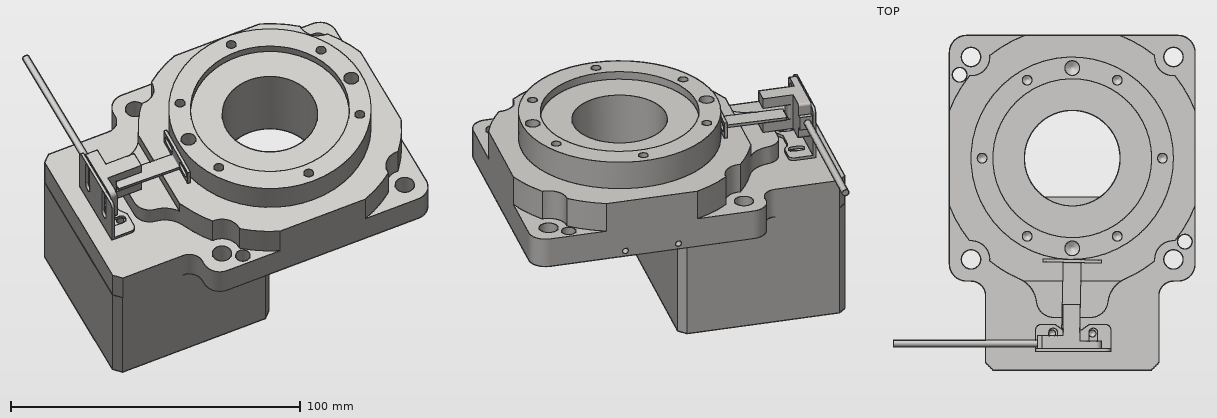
import cadquery as cq
import math


overall_width = 104.3
overall_depth = 115.8

pick_margin = 1.2

plate_side = 85.0
plate_height = 11.0
plate_corner_radius = 6.0
plate_half = plate_side / 2

motor_side = 60.0
motor_height = 41.9
motor_front_y = plate_half - overall_depth
motor_chamfer = 2.7

neck_setback = 0.1
neck_front_y = motor_front_y + neck_setback
neck_fillet = 5.0

housing_radius = 45.5
housing_top_z = 2 * plate_height

boss_height = 6.7
boss_corner_x = 6.4
boss_corner_radius = 6.0
boss_front_y = -55.0
boss_blend_radius = 10.0

mount_hole_offset = 35.0
mount_hole_diameter = 6.6
mount_relief_radius = 6.5
dowel_x = 38.9
dowel_y = 28.8
dowel_diameter = 5.0

table_diameter = 70.0
table_height = 10.5
table_top_z = housing_top_z + table_height
recess_diameter = 54.9
recess_depth = 3.0
bore_diameter = 33.0

table_hole_circle_radius = 31.2
table_screw_diameter = 3.4
table_screw_depth = 7.0
table_pin_diameter = 5.1
table_pin_depth = 8.1

drill_point_angle = 118.0
side_hole_diameter = 2.1
side_hole_depth = 4.6
side_hole_y = 9.5
side_hole_z = 2.1
foot_screw_diameter = 2.4
foot_screw_depth = 4.6
foot_screw_x = 7.0
foot_screw_y = -60.6

sheet_thickness = 1.0
bracket_width = 26.0
bracket_center_x = 0.3
bracket_front_y = -66.8
bracket_height = 19.5
bracket_depth = 9.4
bracket_corner_radius = 2.0
bracket_slot_width = 3.2
bracket_slot_pitch = 13.0
bracket_slot_bottom_z = 16.6
bracket_slot_top_z = 30.1
foot_slot_length = 5.7
foot_slot_width = 3.0
foot_slot_pitch = 13.9
foot_slot_edge = 1.3
notch_half_width = 5.9
notch_floor_half_width = 3.1
notch_depth = 2.0
notch_round = 1.0

sensor_back_y = bracket_front_y + sheet_thickness
sensor_left_x = -10.4
sensor_right_x = 10.2
sensor_height = 13.4
sensor_center_z = 24.9
sensor_bottom_z = sensor_center_z - sensor_height / 2
sensor_left_round = 0.9
sensor_right_round = 1.9
sensor_thick_depth = 4.5
sensor_thin_depth = 2.5
arm_left_x = -3.1
arm_right_x = 2.7
arm_tip_y = -50.5
arm_gap = 5.8
throat_y = -59.8
throat_round = 0.6
sensor_hole_diameter = 3.5
sensor_hole_pitch = 7.1
sensor_hole_x = 6.8
cable_boot_length = 1.5
cable_boot_height = 5.0
cable_diameter = 2.4
cable_y = -64.0
cable_end_x = plate_half - overall_width

flag_thickness = 1.0
flag_turn = -1.3
flag_slide = 0.8
flag_width = 20.1
flag_bottom_z = 22.1
flag_top_z = 28.1
flag_bend_radius = 0.6
flag_slot_length = 6.0
flag_slot_width = 3.0
flag_slot_x = 6.0
tab_width = 6.3
tab_tip_y = -59.1
tab_corner_radius = 0.6


def block(x_min, x_max, y_min, y_max, z_min, z_max):
    """A box given by its limits along each axis."""
    size = (x_max - x_min, y_max - y_min, z_max - z_min)
    return cq.Workplane("XY").box(*size, centered=False).translate((x_min, y_min, z_min))


def cylinder(radius, height, x=0, y=0, z=0):
    """An upright cylinder standing at height z."""
    return cq.Workplane("XY").circle(radius).extrude(height).translate((x, y, z))


def drilled_hole(diameter, depth):
    """A blind hole going down from the origin, with a conical floor."""
    radius = diameter / 2
    point_depth = radius / math.tan(math.radians(drill_point_angle / 2))
    profile = [(0, 0), (radius, 0), (radius, -depth), (0, -depth - point_depth)]
    return cq.Workplane("XZ").polyline(profile).close().revolve(360, (0, 0), (0, 1))


def make_motor():
    """Square motor with chamfered corners, hanging below the base plate."""
    half = motor_side / 2
    motor = block(-half, half, motor_front_y, motor_front_y + motor_side, -motor_height, 0)
    return motor.edges("|Z").chamfer(motor_chamfer)


def make_base_plate():
    """Square plate with a narrower neck that covers the motor."""
    plate = block(-plate_half, plate_half, -plate_half, plate_half, 0, plate_height)
    plate = plate.edges("|Z").fillet(plate_corner_radius)
    neck_half = motor_side / 2
    neck = block(-neck_half, neck_half, neck_front_y, 0, 0, plate_height)
    neck = neck.edges("|Z and <Y").chamfer(motor_chamfer)
    plate = plate.union(neck)
    reach = plate_corner_radius / 2
    inner_corners = cq.selectors.BoxSelector(
        (-neck_half - reach, -plate_half - reach, -pick_margin),
        (neck_half + reach, -plate_half + reach, plate_height + pick_margin),
    )
    return plate.edges("|Z").edges(inner_corners).fillet(neck_fillet)


def arc_middle(center, radius, start, end):
    """The middle point of the shorter arc from start to end about the center."""
    chord_x = (start[0] + end[0]) / 2 - center[0]
    chord_y = (start[1] + end[1]) / 2 - center[1]
    stretch = radius / math.hypot(chord_x, chord_y)
    return (center[0] + chord_x * stretch, center[1] + chord_y * stretch)


def make_boss():
    """Low boss in front of the housing, blended into the housing's round side."""
    corner = (boss_corner_x, boss_front_y + boss_corner_radius)
    from_axis = housing_radius + boss_blend_radius
    from_corner = boss_corner_radius + boss_blend_radius
    corner_distance = math.hypot(*corner)
    offset_angle = math.acos(
        (from_axis**2 + corner_distance**2 - from_corner**2) / (2 * from_axis * corner_distance)
    )
    blend_angle = math.atan2(corner[1], corner[0]) + offset_angle
    blend = (from_axis * math.cos(blend_angle), from_axis * math.sin(blend_angle))

    on_housing = tuple(c * housing_radius / from_axis for c in blend)
    share = boss_corner_radius / from_corner
    on_corner = tuple(c + (b - c) * share for c, b in zip(corner, blend))

    front = (boss_corner_x, boss_front_y)
    half = (
        cq.Workplane("XY")
        .moveTo(0, 0)
        .lineTo(*on_housing)
        .threePointArc(arc_middle(blend, boss_blend_radius, on_housing, on_corner), on_corner)
        .threePointArc(arc_middle(corner, boss_corner_radius, on_corner, front), front)
        .lineTo(0, boss_front_y)
        .close()
        .extrude(plate_height)
        .translate((0, 0, plate_height))
    )
    boss = half.union(half.mirror("YZ"))
    boss_top_z = plate_height + boss_height
    above = block(-plate_half, plate_half, boss_front_y, -plate_half, boss_top_z, housing_top_z)
    return boss.cut(above)


def make_housing():
    """Round gear housing trimmed to the plate sides and cleared around the mounting screws."""
    housing = cylinder(housing_radius, plate_height, z=plate_height)
    trim = block(-plate_half, plate_half, -plate_half, plate_half, plate_height, housing_top_z)
    housing = housing.intersect(trim).union(make_boss())
    for x in (-mount_hole_offset, mount_hole_offset):
        for y in (-mount_hole_offset, mount_hole_offset):
            housing = housing.cut(cylinder(mount_relief_radius, plate_height, x, y, plate_height))
    return housing


def make_table():
    """Round table with a shallow recess in its top."""
    table = cylinder(table_diameter / 2, table_height, z=housing_top_z)
    return table.cut(cylinder(recess_diameter / 2, recess_depth, z=table_top_z - recess_depth))


def cut_plate_holes(body):
    """Four corner mounting holes and two dowel holes on opposite corners, all through."""
    for x in (-mount_hole_offset, mount_hole_offset):
        for y in (-mount_hole_offset, mount_hole_offset):
            body = body.cut(cylinder(mount_hole_diameter / 2, plate_height, x, y))
    for side in (-1, 1):
        body = body.cut(cylinder(dowel_diameter / 2, housing_top_z, side * dowel_x, -side * dowel_y))
    return body


def cut_table_holes(body):
    """Six screw holes and two larger pin holes on one circle."""
    screw = drilled_hole(table_screw_diameter, table_screw_depth)
    pin = drilled_hole(table_pin_diameter, table_pin_depth)
    screw_angles = range(0, 360, 60)
    pin_angles = (90, 270)
    for tool, angles in ((screw, screw_angles), (pin, pin_angles)):
        for angle in angles:
            x = table_hole_circle_radius * math.cos(math.radians(angle))
            y = table_hole_circle_radius * math.sin(math.radians(angle))
            body = body.cut(tool.translate((x, y, table_top_z)))
    return body


def cut_small_screw_holes(body):
    """Two tapped holes under the bracket foot and two in the -X side of the plate."""
    foot_hole = drilled_hole(foot_screw_diameter, foot_screw_depth)
    side_hole = drilled_hole(side_hole_diameter, side_hole_depth)
    side_hole = side_hole.rotate((0, 0, 0), (0, 1, 0), -90)
    for side in (-1, 1):
        body = body.cut(foot_hole.translate((side * foot_screw_x, foot_screw_y, plate_height)))
        body = body.cut(side_hole.translate((-plate_half, side * side_hole_y, side_hole_z)))
    return body


def make_drive_body():
    body = make_base_plate().union(make_housing()).union(make_table())
    body = body.cut(cylinder(bore_diameter / 2, table_top_z))
    body = cut_plate_holes(body)
    body = cut_table_holes(body)
    body = body.union(make_motor())
    return cut_small_screw_holes(body)


def make_bracket():
    """Bent sheet: an upright plate with two tall slots on a slotted foot."""
    left = bracket_center_x - bracket_width / 2
    right = bracket_center_x + bracket_width / 2
    back = bracket_front_y + bracket_depth
    foot_top = plate_height + sheet_thickness

    bracket_top = plate_height + bracket_height
    upright = block(left, right, bracket_front_y, sensor_back_y, plate_height, bracket_top)
    upright = upright.edges("|Y and >Z").fillet(bracket_corner_radius)
    tall_slots = (
        cq.Workplane("XZ", origin=(bracket_center_x, sensor_back_y, 0))
        .center(0, (bracket_slot_bottom_z + bracket_slot_top_z) / 2)
        .rarray(bracket_slot_pitch, 1.2, 2, 1)
        .slot2D(bracket_slot_top_z - bracket_slot_bottom_z, bracket_slot_width, 90)
        .extrude(sheet_thickness)
    )

    foot = block(left, right, bracket_front_y, back, plate_height, foot_top)
    foot = foot.edges("|Z and >Y").fillet(bracket_corner_radius)
    notch_floor = back - notch_depth
    notch = (
        cq.Workplane("XY", origin=(0, 0, plate_height))
        .moveTo(-notch_half_width, back)
        .lineTo(-notch_floor_half_width, notch_floor)
        .lineTo(notch_floor_half_width, notch_floor)
        .lineTo(notch_half_width, back)
        .close()
        .extrude(sheet_thickness)
    )
    foot = foot.cut(notch)
    notch_corners = cq.selectors.BoxSelector(
        (-notch_half_width - notch_round, notch_floor - notch_round, plate_height - pick_margin),
        (notch_half_width + notch_round, back + notch_round, foot_top + pick_margin),
    )
    foot = foot.edges("|Z").edges(notch_corners).fillet(notch_round)
    slot_center_y = back - foot_slot_edge - foot_slot_length / 2
    foot_slots = (
        cq.Workplane("XY", origin=(bracket_center_x, slot_center_y, plate_height))
        .rarray(foot_slot_pitch, 1.2, 2, 1)
        .slot2D(foot_slot_length, foot_slot_width, 90)
        .extrude(sheet_thickness)
    )
    return upright.cut(tall_slots).union(foot.cut(foot_slots))


def make_sensor():
    """T-shaped slot sensor: flange against the bracket, forked arms, and the cable."""
    top = sensor_bottom_z + sensor_height
    thick_y = sensor_back_y + sensor_thick_depth
    thin_y = sensor_back_y + sensor_thin_depth

    thick = block(sensor_left_x, arm_right_x, sensor_back_y, thick_y, sensor_bottom_z, top)
    thick = thick.edges("|Y and <X").fillet(sensor_left_round)
    thin = block(arm_left_x, sensor_right_x, sensor_back_y, thin_y, sensor_bottom_z, top)
    thin = thin.edges("|Y and >X").fillet(sensor_right_round)
    arms = block(arm_left_x, arm_right_x, sensor_back_y, arm_tip_y, sensor_bottom_z, top)
    gap = block(
        arm_left_x, arm_right_x, throat_y, arm_tip_y,
        sensor_center_z - arm_gap / 2, sensor_center_z + arm_gap / 2,
    )
    arms = arms.cut(gap)
    throat_corners = cq.selectors.BoxSelector(
        (arm_left_x - pick_margin, throat_y - pick_margin, sensor_bottom_z),
        (arm_right_x + pick_margin, throat_y + pick_margin, top),
    )
    arms = arms.edges("|Z").edges(throat_corners).fillet(throat_round)
    sensor = thick.union(thin).union(arms)

    holes = (
        cq.Workplane("XZ", origin=(sensor_hole_x, thin_y, sensor_center_z))
        .rarray(1.2, sensor_hole_pitch, 1, 2)
        .circle(sensor_hole_diameter / 2)
        .extrude(sensor_thin_depth)
    )
    boot_left = sensor_left_x - cable_boot_length
    boot = block(
        boot_left, sensor_left_x, sensor_back_y, thick_y,
        sensor_center_z - cable_boot_height / 2, sensor_center_z + cable_boot_height / 2,
    )
    cable = (
        cq.Workplane("YZ", origin=(cable_end_x, cable_y, sensor_center_z))
        .circle(cable_diameter / 2)
        .extrude(boot_left - cable_end_x)
    )
    return sensor.cut(holes).union(boot).union(cable)


def make_flag():
    """Bent flag: a slotted plate against the table rim, and a tab reaching into the sensor."""
    rim_y = -table_diameter / 2
    face_y = rim_y - flag_thickness
    plate = block(-flag_width / 2, flag_width / 2, face_y, rim_y, flag_bottom_z, flag_top_z)
    slots = (
        cq.Workplane("XZ", origin=(0, rim_y, (flag_bottom_z + flag_top_z) / 2))
        .rarray(2 * flag_slot_x, 1.2, 2, 1)
        .slot2D(flag_slot_length, flag_slot_width)
        .extrude(flag_thickness)
    )
    tab_top = flag_bottom_z + flag_thickness
    tab = block(-tab_width / 2, tab_width / 2, tab_tip_y, rim_y, flag_bottom_z, tab_top)
    tab = tab.edges("|Z and <Y").fillet(tab_corner_radius)
    flag = plate.cut(slots).union(tab)
    inner_bend = cq.selectors.NearestToPointSelector((0, face_y, tab_top))
    flag = flag.edges("|X").edges(inner_bend).fillet(flag_bend_radius)
    flag = flag.translate((flag_slide, 0, 0))
    return flag.rotate((0, 0, 0), (0, 0, 1), flag_turn)


drive_body = make_drive_body()
bracket = make_bracket()
sensor = make_sensor()
flag = make_flag()

result = cq.Compound.makeCompound([drive_body.val(), bracket.val(), sensor.val(), flag.val()])